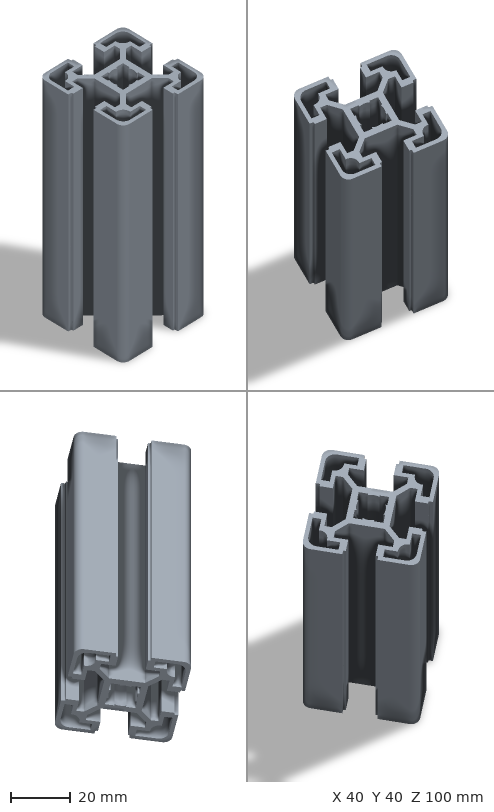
import cadquery as cq
import math

side = 40.0
length = 100.0
wall = 1.5
corner_radius = 3.0

half_side = side / 2
cavity_outer = half_side - wall

mouth_pos = 5.1
relief_pos = 6.0
relief_depth = 1.5
relief_radius = 0.4
lip_under_pos = 14.0
undercut_pos = 10.1

arm_end_pos = 7.6
arm_inner_pos = 15.5
pocket_pos = 12.1
pocket_radius = 3.0
cavity_radius = 3.3

core_outer = 7.5
core_inner = 5.2
web_offset = 1.4

pad_half_width = 2.0
bore_radius = 5.0


def slot():
    """T-slot void open on the +Y side, symmetric about X = 0."""
    half_outline = [
        (core_outer - web_offset, core_outer),
        (undercut_pos, undercut_pos + web_offset),
        (undercut_pos, lip_under_pos),
        (mouth_pos, lip_under_pos),
        (mouth_pos, half_side),
    ]
    mirrored = [(-x, y) for x, y in reversed(half_outline)]
    channel = cq.Workplane("XY").polyline(half_outline + mirrored).close().extrude(length)
    relief = (
        cq.Workplane("XY")
        .center(0, half_side - relief_depth / 2)
        .rect(2 * relief_pos, relief_depth)
        .extrude(length)
        .edges("|Z and <Y")
        .fillet(relief_radius)
    )
    return channel.union(relief)


def corner_cavity():
    """L-shaped void in the +X +Y corner, widened at its bend by a rounded pocket."""
    arc_centre = pocket_pos + pocket_radius
    arc_middle = arc_centre - pocket_radius * math.sqrt(0.5)
    cavity = (
        cq.Workplane("XY")
        .moveTo(arm_end_pos, cavity_outer)
        .lineTo(arm_end_pos, arm_inner_pos)
        .lineTo(pocket_pos, arm_inner_pos)
        .lineTo(pocket_pos, arc_centre)
        .threePointArc((arc_middle, arc_middle), (arc_centre, pocket_pos))
        .lineTo(arm_inner_pos, pocket_pos)
        .lineTo(arm_inner_pos, arm_end_pos)
        .lineTo(cavity_outer, arm_end_pos)
        .lineTo(cavity_outer, cavity_outer)
        .close()
        .extrude(length)
    )
    return cavity.edges("|Z and >(1, 1, 0)").fillet(cavity_radius)


def core_bore():
    """Square bore whose flats carry a concave pad in the middle of each side."""
    square = cq.Workplane("XY").rect(2 * core_inner, 2 * core_inner).extrude(length)
    bore = cq.Workplane("XY").circle(bore_radius).extrude(length)
    pad_bands = (
        cq.Workplane("XY")
        .rect(2 * core_inner, 2 * pad_half_width)
        .extrude(length)
        .union(cq.Workplane("XY").rect(2 * pad_half_width, 2 * core_inner).extrude(length))
    )
    return square.cut(pad_bands.cut(bore))


result = cq.Workplane("XY").rect(side, side).extrude(length).edges("|Z").fillet(corner_radius)
result = result.cut(core_bore())

for angle in (0, 90, 180, 270):
    for void in (slot(), corner_cavity()):
        result = result.cut(void.rotate((0, 0, 0), (0, 0, 1), angle))